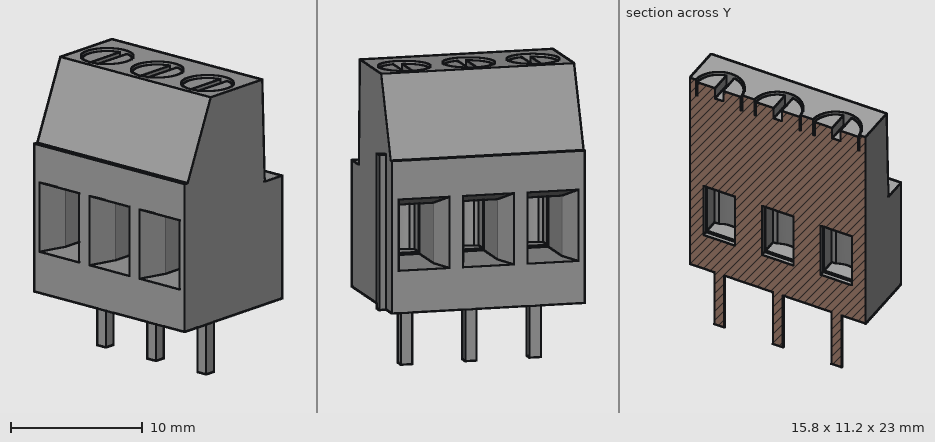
import cadquery as cq
import math


POLE_COUNT = 3
POLE_PITCH = 5.08
HOUSING_WIDTH = POLE_COUNT * POLE_PITCH
HOUSING_DEPTH = 11.2
HOUSING_HEIGHT = 18.0
SHOULDER_HEIGHT = 11.8
SHOULDER_DEPTH = 0.35
TOP_FRONT_Y = 3.0
LEDGE_HEIGHT = 9.8
LEDGE_DEPTH = 2.0
TOP_BACK_INSET = 2.28

KEY_PROJECTION = 0.55
KEY_HEIGHT = 12.0
KEY_CENTRE_Y = 1.9
KEY_OUTER_WIDTH = 0.75
KEY_ROOT_WIDTH = 0.5

SCREW_AXIS_Y = 5.5
BORE_DIAMETER = 4.0
BORE_DEPTH = 1.5
SCREW_DIAMETER = 3.8
SCREW_RECESS = 0.2
SLOT_WIDTH = 0.7
SLOT_DEPTH = 1.0

ENTRY_FLOOR_Z = 3.3
FUNNEL_WIDTH = 4.02
FUNNEL_HEIGHT = 5.52
FUNNEL_DEPTH = 2.23
THROAT_WIDTH = 2.71
THROAT_HEIGHT = 4.67
THROAT_END_Y = 5.98
CLAMP_WIDTH = 2.53
CLAMP_FLOOR_STEP = 0.15
GROOVE_RADIUS = SCREW_DIAMETER / 2
GROOVE_WIDTH = 1.8
CLAMP_END_Y = SCREW_AXIS_Y + math.sqrt(GROOVE_RADIUS**2 - (GROOVE_WIDTH / 2) ** 2)

PIN_SIZE = 0.9
PIN_LENGTH = 5.0
PIN_CENTRE_Y = 5.3


def block(width, depth, height, centre_x, front_y, bottom_z):
    """Box centred on centre_x, starting at front_y and bottom_z."""
    return (
        cq.Workplane("XY")
        .box(width, depth, height, centered=(True, False, False))
        .translate((centre_x, front_y, bottom_z))
    )


def make_housing():
    side_profile = [
        (0, 0),
        (HOUSING_DEPTH, 0),
        (HOUSING_DEPTH, LEDGE_HEIGHT),
        (HOUSING_DEPTH - LEDGE_DEPTH, LEDGE_HEIGHT),
        (HOUSING_DEPTH - TOP_BACK_INSET, HOUSING_HEIGHT),
        (TOP_FRONT_Y, HOUSING_HEIGHT),
        (SHOULDER_DEPTH, SHOULDER_HEIGHT),
        (0, SHOULDER_HEIGHT),
    ]
    return cq.Workplane("YZ").polyline(side_profile).close().extrude(HOUSING_WIDTH)


def make_key():
    outline = [
        (0, KEY_CENTRE_Y - KEY_ROOT_WIDTH / 2),
        (0, KEY_CENTRE_Y + KEY_ROOT_WIDTH / 2),
        (-KEY_PROJECTION, KEY_CENTRE_Y + KEY_OUTER_WIDTH / 2),
        (-KEY_PROJECTION, KEY_CENTRE_Y - KEY_OUTER_WIDTH / 2),
    ]
    return cq.Workplane("XY").polyline(outline).close().extrude(KEY_HEIGHT)


def make_screw_cut(centre_x):
    """Bore around a recessed, slotted screw head that stands on the bore floor."""
    floor = cq.Workplane("XY", origin=(centre_x, SCREW_AXIS_Y, HOUSING_HEIGHT - BORE_DEPTH))
    bore = floor.circle(BORE_DIAMETER / 2).extrude(BORE_DEPTH)
    head_height = BORE_DEPTH - SCREW_RECESS
    head = floor.circle(SCREW_DIAMETER / 2).extrude(head_height)
    slot = (
        floor.workplane(offset=head_height - SLOT_DEPTH)
        .rect(SLOT_WIDTH, BORE_DIAMETER)
        .extrude(SLOT_DEPTH)
    )
    return bore.cut(head.cut(slot))


def make_wire_entry(centre_x):
    """Funnel with a level floor, leading through the throat into the clamp recess."""
    funnel = (
        cq.Workplane("XZ", origin=(centre_x, 0, ENTRY_FLOOR_Z))
        .center(0, FUNNEL_HEIGHT / 2)
        .rect(FUNNEL_WIDTH, FUNNEL_HEIGHT)
        .workplane(offset=-FUNNEL_DEPTH)
        .center(0, (THROAT_HEIGHT - FUNNEL_HEIGHT) / 2)
        .rect(THROAT_WIDTH, THROAT_HEIGHT)
        .loft(ruled=True)
    )
    throat = block(
        THROAT_WIDTH, THROAT_END_Y - FUNNEL_DEPTH, THROAT_HEIGHT,
        centre_x, FUNNEL_DEPTH, ENTRY_FLOOR_Z,
    )
    clamp_height = THROAT_HEIGHT - CLAMP_FLOOR_STEP
    clamp_floor_z = ENTRY_FLOOR_Z + CLAMP_FLOOR_STEP
    clamp = block(
        CLAMP_WIDTH, CLAMP_END_Y - THROAT_END_Y, clamp_height,
        centre_x, THROAT_END_Y, clamp_floor_z,
    )
    behind_throat = block(
        2 * GROOVE_RADIUS, 2 * GROOVE_RADIUS, clamp_height,
        centre_x, CLAMP_END_Y, clamp_floor_z,
    )
    groove = (
        cq.Workplane("XY", origin=(centre_x, SCREW_AXIS_Y, clamp_floor_z))
        .circle(GROOVE_RADIUS)
        .extrude(clamp_height)
        .intersect(behind_throat)
    )
    return funnel.union(throat).union(clamp).union(groove)


def make_pin(centre_x):
    front_y = PIN_CENTRE_Y - PIN_SIZE / 2
    return block(PIN_SIZE, PIN_SIZE, PIN_LENGTH, centre_x, front_y, -PIN_LENGTH)


result = make_housing().union(make_key())
for pole in range(POLE_COUNT):
    pole_x = (pole + 0.5) * POLE_PITCH
    result = result.cut(make_screw_cut(pole_x))
    result = result.cut(make_wire_entry(pole_x))
    result = result.union(make_pin(pole_x))